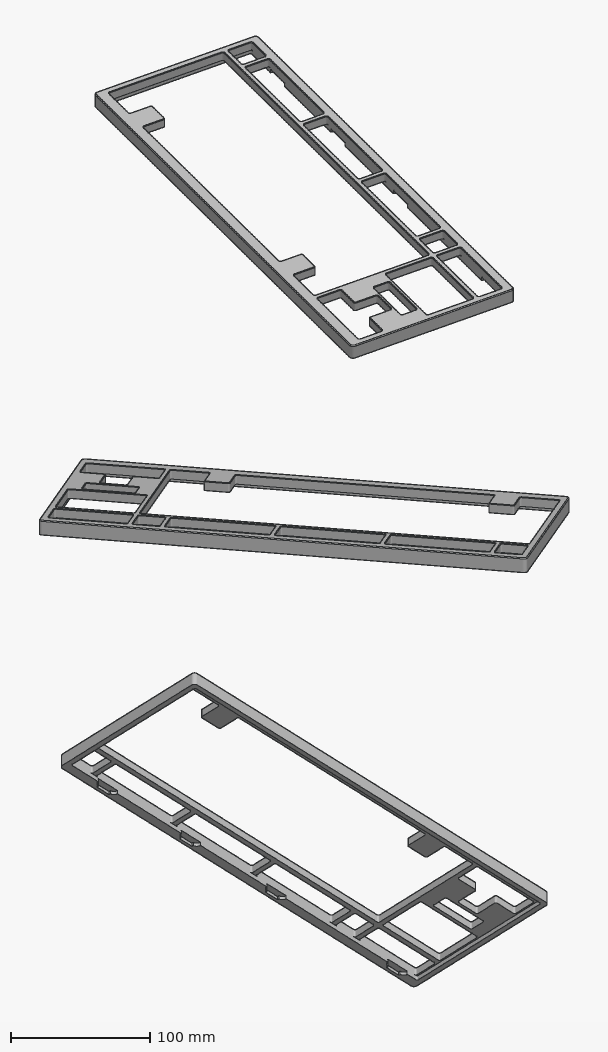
import cadquery as cq
LENGTH = 359.5
WIDTH = 136.5
HEIGHT = 11.0
OUTER_CORNER_RADIUS = 3.0
TOP_CHAMFER = 0.7
OPENING_CHAMFER = 0.55

PITCH = 19.0
CLEARANCE = 0.5
GAP = PITCH / 4
CORNER_RADIUS = 1.25
BACK_MARGIN = 8.0

PLATE_THICKNESS = 7.2
SIDE_WALL = 4.3
FRONT_WALL = 3.5
NOTCH_WIDTH = 19.5
NOTCH_HEIGHT = 3.0
NOTCH_DEPTH = 5.0
NOTCH_MOUTH_RADIUS = 3.5
NOTCH_CENTRES = (-138.5, -54.3, 32.7, 155.7)

MAIN_WIDTH = 15 * PITCH
MAIN_DEPTH = 5 * PITCH
NAV_WIDTH = 3 * PITCH
MAIN_LEFT = -(MAIN_WIDTH + GAP + NAV_WIDTH) / 2
MAIN_RIGHT = MAIN_LEFT + MAIN_WIDTH
NAV_LEFT = MAIN_RIGHT + GAP
NAV_CENTRE = NAV_LEFT + NAV_WIDTH / 2
BACK_EDGE = WIDTH / 2 - BACK_MARGIN
RAIL_FRONT = BACK_EDGE + CLEARANCE
MAIN_BACK = BACK_EDGE - PITCH - GAP
MAIN_FRONT = MAIN_BACK - MAIN_DEPTH

BADGE_WIDTH = 2 * PITCH
BADGE_GAP = 3.5
BADGE_DEPTH = 12.2
BADGE_BACK = MAIN_BACK - 2 * PITCH - BADGE_GAP

TAB_INSET = 1.5 * PITCH
TAB_WIDTH = PITCH
TAB_LENGTH = 18.7


def block(left, front, width, depth, bottom, top):
    """Rectangular block given by its left front corner, size and height range."""
    return (
        cq.Workplane("XY", origin=(left, front, bottom))
        .rect(width, depth, centered=False)
        .extrude(top - bottom)
    )


def opening(left, back, width, depth):
    """Block through the whole height, hung from its left back corner and grown by the clearance."""
    grown_width = width + 2 * CLEARANCE
    grown_depth = depth + 2 * CLEARANCE
    return block(left - CLEARANCE, back - depth - CLEARANCE, grown_width, grown_depth, 0, HEIGHT)


def function_row():
    """Openings of the back row: single key, three groups of four, single key, three keys."""
    cells = []
    left = MAIN_LEFT
    for keys in (1, 4, 4, 4, 1, 3):
        cells.append(opening(left, BACK_EDGE, keys * PITCH, PITCH))
        left += keys * PITCH + GAP
    return cells


def main_opening():
    """Large opening with two tabs standing on its front edge."""
    window = opening(MAIN_LEFT, MAIN_BACK, MAIN_WIDTH, MAIN_DEPTH)
    for tab_left in (MAIN_LEFT + TAB_INSET, MAIN_RIGHT - TAB_INSET - TAB_WIDTH):
        tab = block(tab_left, MAIN_FRONT - CLEARANCE, TAB_WIDTH, TAB_LENGTH, 0, HEIGHT)
        window = window.cut(tab)
    return window


def arrow_opening():
    """Inverted T opening: a row of three keys with one key behind the middle."""
    row = opening(NAV_LEFT, MAIN_FRONT + PITCH, NAV_WIDTH, PITCH)
    return row.union(opening(NAV_CENTRE - PITCH / 2, MAIN_FRONT + 2 * PITCH, PITCH, 2 * PITCH))


def all_openings():
    """Every opening through the plate, with rounded upright corners."""
    nav = opening(NAV_LEFT, MAIN_BACK, NAV_WIDTH, 2 * PITCH)
    badge = opening(NAV_CENTRE - BADGE_WIDTH / 2, BADGE_BACK, BADGE_WIDTH, BADGE_DEPTH)
    shapes = function_row() + [main_opening(), nav, badge, arrow_opening()]
    return [shape.edges("|Z").fillet(CORNER_RADIUS) for shape in shapes]


def underside_pocket():
    """Hollow below the plate, leaving side and front walls and the solid back rail."""
    front = -WIDTH / 2 + FRONT_WALL
    width = LENGTH - 2 * SIDE_WALL
    pocket = block(-width / 2, front, width, RAIL_FRONT - front, 0, HEIGHT - PLATE_THICKNESS)
    return pocket.edges("|Z").fillet(CORNER_RADIUS)


def back_notch(centre):
    """Notch from below into the back rail, with rounded mouth corners."""
    r = NOTCH_MOUTH_RADIUS
    half = NOTCH_WIDTH / 2 - r
    return (
        cq.Workplane("XY")
        .moveTo(centre - half - r, RAIL_FRONT)
        .radiusArc((centre - half, RAIL_FRONT + r), r)
        .lineTo(centre - half, RAIL_FRONT + NOTCH_DEPTH)
        .lineTo(centre + half, RAIL_FRONT + NOTCH_DEPTH)
        .lineTo(centre + half, RAIL_FRONT + r)
        .radiusArc((centre + half + r, RAIL_FRONT), r)
        .close()
        .extrude(NOTCH_HEIGHT)
    )


frame = block(-LENGTH / 2, -WIDTH / 2, LENGTH, WIDTH, 0, HEIGHT)
frame = frame.edges("|Z").fillet(OUTER_CORNER_RADIUS)
frame = frame.faces(">Z").chamfer(TOP_CHAMFER)

for shape in all_openings():
    frame = frame.cut(shape)

rims = [edge for wire in frame.faces(">Z").val().innerWires() for edge in wire.Edges()]
frame = frame.newObject(rims).chamfer(OPENING_CHAMFER)

frame = frame.cut(underside_pocket())
for notch_centre in NOTCH_CENTRES:
    frame = frame.cut(back_notch(notch_centre))

result = frame